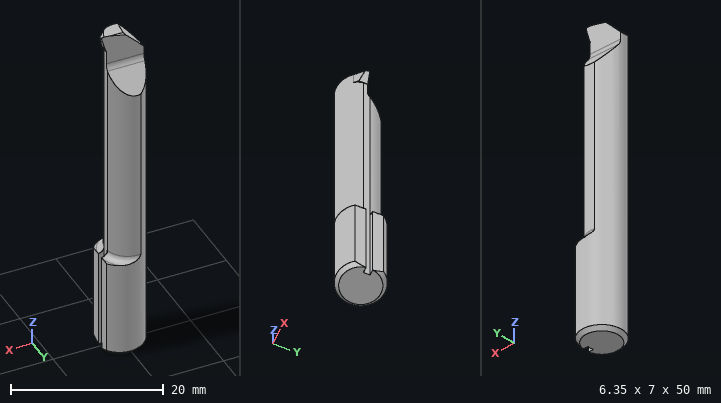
import cadquery as cq
import math

LENGTH = 50.0
SHANK_RADIUS = 3.5
FLAT_X = 2.85
SHANK_TOP = 14.65
END_CHAMFER = 0.6
SLOT_WIDTH = 0.95
SLOT_FLOOR_X = 2.0

NECK_CENTER_X = -1.1
NECK_RADIUS = 3.15
NECK_FILLET = 0.9
NECK_SIDE_X = NECK_CENTER_X + NECK_RADIUS

FACE_Y = 0.15
RELIEF_CORNER_Z = 45.0
RELIEF_ANGLE = 50.0
RELIEF_FILLET = 1.5

TOP_SLOPE_X = 6.5
TOP_SLOPE_Y = 10.5
BACK_CHAMFER_Z = 46.7

TIP_X = 2.35
TIP_SLOPE_X = -17.0
TIP_SLOPE_Y = 20.0

NOTCH_END_X = 1.5
NOTCH_SLOPE_X = 13.0
NOTCH_SLOPE_Y = -30.0

TOOTH_X = 2.7
TOOTH_BOTTOM = 47.55
TOOTH_EDGE_DROP = 0.25
TOOTH_LAND_Y = -0.45
TOOTH_HEEL_X = 1.5
TOOTH_HEEL_Y = -1.75

MARGIN = 5.0


def box_between(low, high):
    """Axis-aligned box between two opposite corners."""
    size = [b - a for a, b in zip(low, high)]
    return cq.Workplane("XY").box(*size, centered=False).translate(low)


def shank_cylinder(height):
    return cq.Workplane("XY").circle(SHANK_RADIUS).extrude(height)


def make_shank():
    """Chamfered shank with its side flat."""
    shank = shank_cylinder(SHANK_TOP + NECK_FILLET).faces("<Z").chamfer(END_CHAMFER)
    reach = SHANK_RADIUS + MARGIN
    flat = box_between((FLAT_X, -reach, -MARGIN), (reach, reach, LENGTH))
    return shank.cut(flat)


def make_slot():
    """Slot through the shank flat that also grazes the neck up to the tooth."""
    half_width = SLOT_WIDTH / 2
    reach = SHANK_RADIUS + MARGIN
    return box_between((SLOT_FLOOR_X, -half_width, -MARGIN), (reach, half_width, TOOTH_BOTTOM))


def make_neck_envelope():
    """Revolved neck with a concave fillet flaring out onto the shank's end."""
    wide = 2 * SHANK_RADIUS + MARGIN
    flare = NECK_RADIUS + NECK_FILLET
    drop = NECK_FILLET * math.sqrt(0.5)
    return (
        cq.Workplane("XZ")
        .moveTo(0, -MARGIN)
        .lineTo(wide, -MARGIN)
        .lineTo(wide, SHANK_TOP)
        .lineTo(flare, SHANK_TOP)
        .threePointArc(
            (flare - drop, SHANK_TOP + NECK_FILLET - drop),
            (NECK_RADIUS, SHANK_TOP + NECK_FILLET),
        )
        .lineTo(NECK_RADIUS, LENGTH + MARGIN)
        .lineTo(0, LENGTH + MARGIN)
        .close()
        .revolve(360, (0, 0, 0), (0, 1, 0))
        .translate((NECK_CENTER_X, 0, 0))
    )


def make_upper_blank():
    """Unflattened cylinder above the shank, from which the neck is trimmed."""
    base_z = SHANK_TOP + NECK_FILLET
    return shank_cylinder(LENGTH - base_z).translate((0, 0, base_z))


def make_tooth():
    """Trapezoid in XZ, trimmed to a polygon in XY that clears behind the cutting edge."""
    plan = (
        cq.Workplane("XY")
        .polyline([
            (0, FACE_Y),
            (TOOTH_X, FACE_Y),
            (TOOTH_X, TOOTH_LAND_Y),
            (TOOTH_HEEL_X, TOOTH_HEEL_Y),
            (0, TOOTH_HEEL_Y),
        ])
        .close()
        .extrude(LENGTH)
    )
    profile = (
        cq.Workplane("XZ")
        .polyline([
            (0, TOOTH_BOTTOM),
            (NECK_SIDE_X, TOOTH_BOTTOM),
            (TOOTH_X, LENGTH - TOOTH_EDGE_DROP),
            (TOOTH_X, LENGTH),
            (0, LENGTH),
        ])
        .close()
        .extrude(SHANK_RADIUS, both=True)
    )
    return plan.intersect(profile)


def make_relief():
    """Material removed in front of the cutting face, with a filleted run-out."""
    reach = SHANK_RADIUS + MARGIN
    low_z = RELIEF_CORNER_Z - (reach - FACE_Y) * math.tan(math.radians(RELIEF_ANGLE))
    return (
        cq.Workplane("YZ")
        .polyline([
            (FACE_Y, RELIEF_CORNER_Z),
            (FACE_Y, LENGTH + MARGIN),
            (reach, LENGTH + MARGIN),
            (reach, low_z),
        ])
        .close()
        .extrude(reach, both=True)
        .edges(cq.selectors.NearestToPointSelector((0, FACE_Y, RELIEF_CORNER_Z)))
        .fillet(RELIEF_FILLET)
    )


def half_space_above(point, slope_x, slope_y):
    """Large block above the plane through a point that rises by these angles along +X and +Y."""
    normal = (-math.tan(math.radians(slope_x)), -math.tan(math.radians(slope_y)), 1)
    plane = cq.Plane(origin=point, normal=normal)
    return cq.Workplane(plane).rect(4 * LENGTH, 4 * LENGTH).extrude(LENGTH)


def make_back_chamfer():
    """Material above the 45 degree slope on the -X side of the tip."""
    reach = SHANK_RADIUS + MARGIN
    return (
        cq.Workplane("XZ")
        .polyline([
            (-reach, BACK_CHAMFER_Z - MARGIN),
            (reach, BACK_CHAMFER_Z + SHANK_RADIUS + reach),
            (-reach, BACK_CHAMFER_Z + SHANK_RADIUS + reach),
        ])
        .close()
        .extrude(reach, both=True)
    )


notch_end_z = LENGTH - (TIP_X - NOTCH_END_X) * math.tan(math.radians(TOP_SLOPE_X))
tip_point = (TIP_X, FACE_Y, LENGTH)
notch_end = (NOTCH_END_X, FACE_Y, notch_end_z)

shank_and_neck = make_shank().union(make_upper_blank()).intersect(make_neck_envelope())
result = (
    shank_and_neck
    .cut(make_slot())
    .union(make_tooth())
    .cut(make_relief())
    .cut(half_space_above(tip_point, TOP_SLOPE_X, TOP_SLOPE_Y))
    .cut(half_space_above(tip_point, TIP_SLOPE_X, TIP_SLOPE_Y))
    .cut(half_space_above(notch_end, NOTCH_SLOPE_X, NOTCH_SLOPE_Y))
    .cut(make_back_chamfer())
)